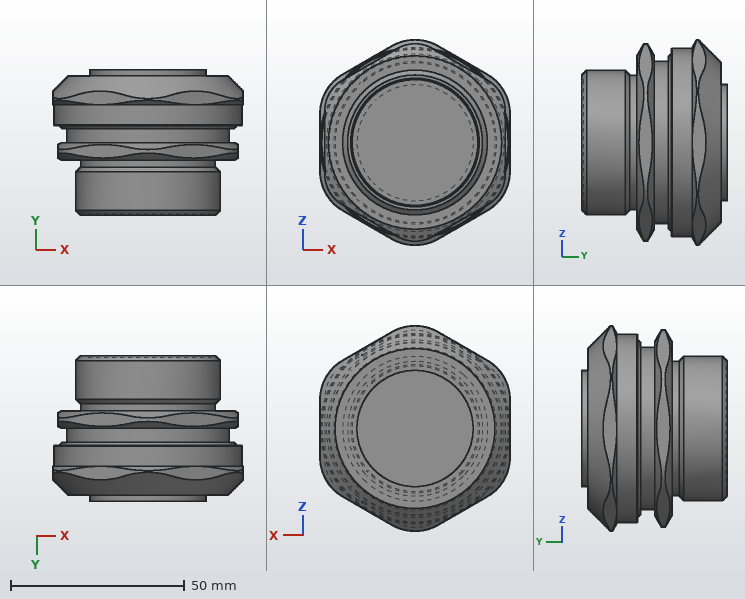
import cadquery as cq
import math

total_length = 42.1
thread_start = 0.0
thread_end = 13.95
nut_start = 16.0
nut_end = 21.05
lip_start = 25.1
cap_start = 31.95
cap_end = 40.35

thread_diameter = 41.9
neck_diameter = 39.0
collar_diameter = 47.0
flange_diameter = 54.5
rear_boss_diameter = 33.65

thread_chamfer = 1.4
flange_chamfer = 0.3

lip_length = 0.8
lip_root_radius = 25.65
lip_tip_radius = 24.9

recess_mouth_radius = 18.6
recess_floor_radius = 18.2
recess_depth = 0.4

nut_across_flats = 52.2
nut_corner_radius = 10.2
nut_face_radius = 25.1
cap_across_flats = 55.0
cap_across_corners = 59.4
cap_rear_face_radius = 23.1
cap_bevel_angle = 45.0
hex_bevel_angle = 30.0


def hex_vertex_radius(across_flats):
    return across_flats / 2 / math.cos(math.pi / 6)


def corner_rounding_loss(corner_radius):
    """Distance from a sharp hexagon vertex to its rounded corner."""
    return corner_radius * (1 / math.cos(math.pi / 6) - 1)


cap_vertex_trim = hex_vertex_radius(cap_across_flats) - cap_across_corners / 2
cap_corner_radius = cap_vertex_trim / corner_rounding_loss(1)


def along_y(start):
    """Work plane normal to +Y, with local x along +Z."""
    return cq.Workplane(cq.Plane((0, start, 0), (0, 0, 1), (0, 1, 0)))


def disc(start, end, diameter):
    return along_y(start).circle(diameter / 2).extrude(end - start)


def revolved(points):
    """Revolve a (radius, y) outline about the Y axis."""
    return cq.Workplane("XY").polyline(points).close().revolve(360, (0, 0, 0), (0, 1, 0))


def rounded_hex(start, end, across_flats, corner_radius):
    sharp = along_y(start).polygon(6, 2 * hex_vertex_radius(across_flats)).extrude(end - start)
    return sharp.edges("|Y").fillet(corner_radius)


def hex_with_bevels(start, end, across_flats, corner_radius, front_radius, rear_radius, rear_angle):
    """Rounded hexagon trimmed by a cone at each end; angles are measured from the end faces."""
    reach = hex_vertex_radius(across_flats) - corner_rounding_loss(corner_radius)
    front_bevel = (reach - front_radius) * math.tan(math.radians(hex_bevel_angle))
    rear_bevel = (reach - rear_radius) * math.tan(math.radians(rear_angle))
    corner_clearance = 0.005
    clear_reach = reach + corner_clearance
    envelope = revolved([
        (0, start),
        (front_radius, start),
        (clear_reach, start + front_bevel),
        (clear_reach, end - rear_bevel),
        (rear_radius, end),
        (0, end),
    ])
    return rounded_hex(start, end, across_flats, corner_radius).intersect(envelope)


def threaded_end():
    shank = disc(thread_start, thread_end, thread_diameter).edges().chamfer(thread_chamfer)
    recess = revolved([
        (0, thread_start),
        (recess_mouth_radius, thread_start),
        (recess_floor_radius, thread_start + recess_depth),
        (0, thread_start + recess_depth),
    ])
    return shank.cut(recess)


def flange():
    flange_start = lip_start + lip_length
    body = disc(flange_start, cap_start, flange_diameter)
    body = body.faces("<Y").edges().chamfer(flange_chamfer)
    lip = revolved([
        (0, lip_start),
        (lip_tip_radius, lip_start),
        (lip_root_radius, flange_start),
        (0, flange_start),
    ])
    return body.union(lip)


def lock_nut():
    return hex_with_bevels(
        nut_start, nut_end, nut_across_flats, nut_corner_radius,
        nut_face_radius, nut_face_radius, hex_bevel_angle,
    )


def dome_cap():
    return hex_with_bevels(
        cap_start, cap_end, cap_across_flats, cap_corner_radius,
        cap_across_flats / 2, cap_rear_face_radius, cap_bevel_angle,
    )


result = (
    threaded_end()
    .union(disc(thread_end, nut_start, neck_diameter))
    .union(lock_nut())
    .union(disc(nut_end, lip_start, collar_diameter))
    .union(flange())
    .union(dome_cap())
    .union(disc(cap_end, total_length, rear_boss_diameter))
)